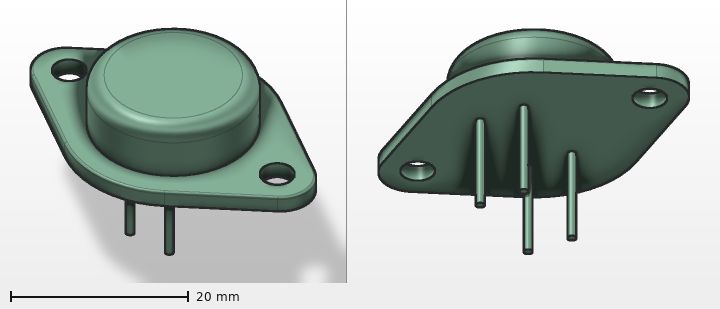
import cadquery as cq
import math

flange_length = 39.0
flange_width = 25.55
flange_thickness = 2.0
flange_end_radius = 4.0
flange_edge_radius = 0.292
mounting_hole_diameter = 3.9
mounting_hole_spacing = 30.02

can_diameter = 19.55
can_height = 6.7
can_edge_radius = 2.0

pin_diameter = 1.0
pin_length = 11.4
pin_row_spacing = 10.9
pin_columns_x = (-1.85, 3.82)


def flange_outline():
    """Closed outline of tangent arcs and straight sides, symmetric about X and Y."""
    middle_radius = flange_width / 2
    end_center_x = flange_length / 2 - flange_end_radius
    tangent_x = (middle_radius - flange_end_radius) / end_center_x
    tangent_y = math.sqrt(1 - tangent_x**2)

    middle_x = middle_radius * tangent_x
    middle_y = middle_radius * tangent_y
    end_x = end_center_x + flange_end_radius * tangent_x
    end_y = flange_end_radius * tangent_y

    return (
        cq.Workplane("XY")
        .moveTo(-middle_x, middle_y)
        .threePointArc((0, middle_radius), (middle_x, middle_y))
        .lineTo(end_x, end_y)
        .threePointArc((flange_length / 2, 0), (end_x, -end_y))
        .lineTo(middle_x, -middle_y)
        .threePointArc((0, -middle_radius), (-middle_x, -middle_y))
        .lineTo(-end_x, -end_y)
        .threePointArc((-flange_length / 2, 0), (-end_x, end_y))
        .close()
    )


def make_flange():
    """Flange on z = 0 with a rounded top rim and two mounting holes."""
    plate = flange_outline().extrude(flange_thickness)
    plate = plate.faces(">Z").edges().fillet(flange_edge_radius)
    hole_x = mounting_hole_spacing / 2
    holes = (
        cq.Workplane("XY")
        .pushPoints([(-hole_x, 0), (hole_x, 0)])
        .circle(mounting_hole_diameter / 2)
        .extrude(flange_thickness)
    )
    return plate.cut(holes)


def make_can():
    """Cylindrical can with a rounded top edge, resting on the flange."""
    can = cq.Workplane("XY").workplane(offset=flange_thickness)
    can = can.circle(can_diameter / 2).extrude(can_height)
    return can.faces(">Z").edges().fillet(can_edge_radius)


def make_pin(x, y):
    """Straight round pin reaching down from the underside of the flange."""
    return cq.Workplane("XY").center(x, y).circle(pin_diameter / 2).extrude(-pin_length)


flange = make_flange()
can = make_can()

pins = []
for pin_x in pin_columns_x:
    for pin_y in (-pin_row_spacing / 2, pin_row_spacing / 2):
        pins.append(make_pin(pin_x, pin_y).val())

result = cq.Compound.makeCompound([flange.val(), can.val(), *pins])